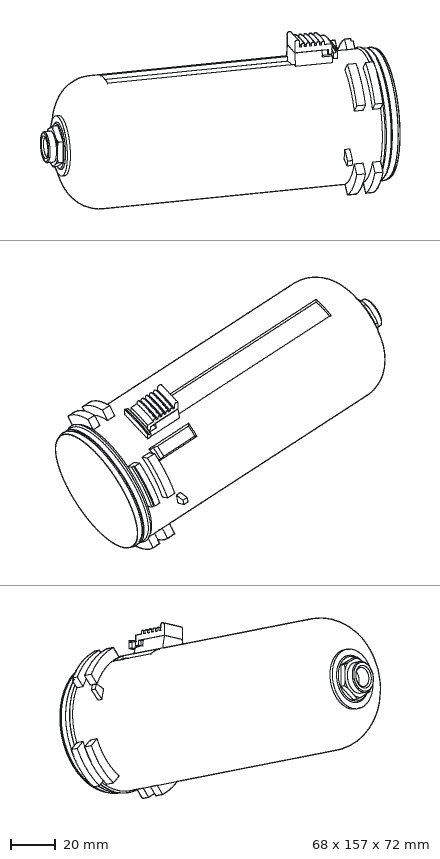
import cadquery as cq
import math


overall_length = 157.0
bowl_radius = 59.8 / 2
dome_radius = 16.0
dome_end = 8.0
boss_radius = 27.0 / 2
boss_face = 6.6
slot_floor_radius = 55.5 / 2

lip_radius = 29.5
lip_fillet = 1.0
bead_top = 155.9
bead_bottom = 153.2
bead_root_radius = 29.2
bead_crest_radius = 60.0 / 2
land_top = 152.6
land_bottom = 150.2
collar_radius = 30.6
collar_peak = 149.5
collar_bottom = 148.4

lug_radius = 35.0
lug_width = 20.7
lug_angles = [45, 135, 225, 315]
upper_lug_bottom = 144.6
lower_lug_top = 140.2
lower_lug_bottom = 136.1
notched_lug_angle = 135
notch_length = 1.0
notch_depth = 1.3

nib_top = 133.3
nib_bottom = 131.0
nib_angle = 162
nib_outer_width = 2.7
nib_flank_angle = 42

guide_slot_width = 10.8
guide_slot_end = 27.8
pocket_inner_side = -11.1
pocket_outer_side = -17.3
pocket_flank_angle = 45
pocket_top = 135.2
pocket_bottom = 112.9
pocket_ledge_radius = 28.7
ledge_bottom = 132.8
ramp_bottom = 130.5

button_front = 114.8
button_back = 132.0
base_width = 14.1
base_top_width = 11.8
base_upright_top = 29.4
base_top = 35.0

button_width = 12.1
grip_root_radius = 38.2
grip_tip_radius = 39.7
tooth_count = 5
tooth_pitch = 2.4
first_tooth_position = 118.5
tooth_length = 1.4
ridge_length = 2.2
ridge_top = 41.0
plate_width = 17.0
plate_back = 133.9
plate_bottom = 31.4
plate_radius = 35.2
plate_lip_radius = 36.0
plate_lip_length = 0.6

notch_floor = 32.0
notch_front = 127.5
notch_core_width = 9.1
arm_bottom = 32.8
arm_front = 130.3

hex_across_flats = 16.8
hex_front = 3.5
hex_back = 6.1
hex_chamfer_radius = 8.8
hex_chamfer_length = 0.5
flange_radius = 10.7
flange_front_radius = 10.0
spigot_radius = 14.0 / 2
spigot_chamfer = 0.5
bore_radius = 8.6 / 2
bore_chamfer = 0.8


def cylinder(radius, y_start, y_end):
    """Cylinder on the bowl axis between two Y positions."""
    return cq.Workplane("XZ", origin=(0, y_start, 0)).circle(radius).extrude(y_start - y_end)


def block(width, y_start, y_end, z_start, z_end):
    """Box centred on X = 0."""
    size = (width, y_end - y_start, z_end - z_start)
    centre = (0, (y_start + y_end) / 2, (z_start + z_end) / 2)
    return cq.Workplane("XY", origin=centre).box(*size)


def turn(shape, angle):
    """Move a shape from the +Z side to an angle counted from +X towards +Z."""
    return shape.rotate((0, 0, 0), (0, 1, 0), 90 - angle)


def revolve_on_axis(outline):
    """Revolve a closed outline of (radius, Y) about the bowl axis."""
    return outline.close().revolve(360, (0, 0), (0, 1))


def bowl_shell():
    dome_mid = dome_radius * math.sqrt(0.5)
    dome_centre_radius = bowl_radius - dome_radius
    dome_centre = dome_end + dome_radius
    bead_middle = (bead_top + bead_bottom) / 2
    outline = (
        cq.Workplane("XY")
        .moveTo(0, boss_face)
        .lineTo(boss_radius, boss_face)
        .lineTo(boss_radius, dome_end)
        .lineTo(dome_centre_radius, dome_end)
        .threePointArc((dome_centre_radius + dome_mid, dome_centre - dome_mid), (bowl_radius, dome_centre))
        .lineTo(bowl_radius, collar_bottom)
        .lineTo(collar_radius, collar_peak)
        .lineTo(bowl_radius, land_bottom)
        .lineTo(bowl_radius, land_top)
        .lineTo(bead_root_radius, land_top)
        .lineTo(bead_root_radius, bead_bottom)
        .threePointArc((bead_crest_radius, bead_middle), (bead_root_radius, bead_top))
        .lineTo(lip_radius, bead_top)
        .lineTo(lip_radius, overall_length - lip_fillet)
        .radiusArc((lip_radius - lip_fillet, overall_length), -lip_fillet)
        .lineTo(0, overall_length)
    )
    return revolve_on_axis(outline)


def lug(angle, y_bottom, y_top):
    """Parallel-sided lug with a round outer face, reaching into the bowl wall."""
    shape = block(lug_width, y_bottom, y_top, slot_floor_radius - 1.5, lug_radius)
    return turn(shape.intersect(cylinder(lug_radius, y_bottom, y_top)), angle)


def lug_notch():
    """Ring that lowers the upper edge of one lug."""
    notch_radius = lug_radius - notch_depth
    notch_start = collar_bottom - notch_length
    ring = cylinder(lug_radius + 1.5, notch_start, collar_bottom).cut(
        cylinder(notch_radius, notch_start, collar_bottom))
    window = block(2 * lug_width, notch_start, collar_bottom, 0, 2 * lug_radius)
    return ring.intersect(turn(window, notched_lug_angle))


def nib(half_turn):
    """Stop nib with one radial flank and one slanted flank."""
    reach = 9.4
    a = math.radians(nib_angle)
    spread = math.degrees(nib_outer_width / lug_radius)
    b = math.radians(nib_angle + spread)
    flank = math.radians(nib_flank_angle)
    inner_radius = lug_radius - reach
    top_outer = (lug_radius * math.cos(a), lug_radius * math.sin(a))
    low_outer = (lug_radius * math.cos(b), lug_radius * math.sin(b))
    low_inner = (low_outer[0] + reach * math.cos(flank), low_outer[1] - reach * math.sin(flank))
    top_inner = (inner_radius * math.cos(a), inner_radius * math.sin(a))
    shape = (
        cq.Workplane("XZ", origin=(0, nib_top, 0))
        .polyline([top_outer, low_outer, low_inner, top_inner])
        .close()
        .extrude(nib_top - nib_bottom)
    )
    return shape.rotate((0, 0, 0), (0, 1, 0), half_turn)


def guide_slot():
    shape = block(guide_slot_width, guide_slot_end, button_front, 0, bowl_radius + 1.5)
    return shape.cut(cylinder(slot_floor_radius, guide_slot_end, button_front))


def detent_pocket():
    """Pocket with one upright and one slanted side; its floor rises over a ramp to a ledge."""
    outline = (
        cq.Workplane("XY")
        .moveTo(0, pocket_bottom)
        .lineTo(slot_floor_radius, pocket_bottom)
        .lineTo(slot_floor_radius, ramp_bottom)
        .lineTo(pocket_ledge_radius, ledge_bottom)
        .lineTo(pocket_ledge_radius, pocket_top)
        .lineTo(0, pocket_top)
    )
    outer_rim = math.sqrt(bowl_radius ** 2 - pocket_outer_side ** 2)
    flank_slope = math.tan(math.radians(pocket_flank_angle))
    flank_foot = outer_rim - (pocket_inner_side - pocket_outer_side) * flank_slope
    section = [
        (pocket_outer_side, outer_rim),
        (pocket_outer_side, bowl_radius),
        (pocket_inner_side, bowl_radius),
        (pocket_inner_side, flank_foot),
    ]
    shape = (
        cq.Workplane("XZ", origin=(0, pocket_top, 0))
        .polyline(section)
        .close()
        .extrude(pocket_top - pocket_bottom)
    )
    return shape.cut(revolve_on_axis(outline))


def button_base():
    """Boss whose sides lean in from the bowl wall up to the button, notched at its back corners."""
    section = [
        (-base_width / 2, 0),
        (base_width / 2, 0),
        (base_width / 2, base_upright_top),
        (base_top_width / 2, base_top),
        (-base_top_width / 2, base_top),
        (-base_width / 2, base_upright_top),
    ]
    base = (
        cq.Workplane("XZ", origin=(0, button_back, 0))
        .polyline(section)
        .close()
        .extrude(button_back - button_front)
    )
    notches = block(base_width, notch_front, button_back, notch_floor, base_top)
    core = block(notch_core_width, notch_front, button_back, notch_floor, base_top)
    return base.cut(notches.cut(core))


def build_bowl():
    bowl = bowl_shell()
    for angle in lug_angles:
        upper = lug(angle, upper_lug_bottom, collar_bottom)
        if angle == notched_lug_angle:
            upper = upper.cut(lug_notch())
        bowl = bowl.union(upper).union(lug(angle, lower_lug_bottom, lower_lug_top))
    for half_turn in (0, 180):
        bowl = bowl.union(nib(half_turn))
    return bowl.union(button_base()).cut(guide_slot()).cut(detent_pocket())


def grip_tooth(position):
    """Round-topped rib across the button, curved about the bowl axis."""
    half_length = tooth_length / 2
    flank_radius = grip_tip_radius - half_length
    outline = (
        cq.Workplane("XY")
        .moveTo(0, position - half_length)
        .lineTo(flank_radius, position - half_length)
        .threePointArc((grip_tip_radius, position), (flank_radius, position + half_length))
        .lineTo(0, position + half_length)
    )
    window = block(button_width, button_front, button_back, base_top, ridge_top)
    return revolve_on_axis(outline).intersect(window)


def grip():
    """Upper block of the button: curved top, teeth and the tall round-topped ridge."""
    upper = block(button_width, button_front, button_back, base_top, ridge_top)
    upper = upper.intersect(cylinder(grip_root_radius, button_front, button_back))
    for index in range(tooth_count):
        upper = upper.union(grip_tooth(first_tooth_position + index * tooth_pitch))
    ridge = block(button_width, button_front, button_front + ridge_length, base_top, ridge_top)
    ridge = ridge.edges("|X and >Z").fillet(0.49 * ridge_length)
    return upper.union(ridge)


def end_plate():
    """Wide plate behind the button, with a curved top and a low lip at its back edge."""
    plate = block(plate_width, button_back, plate_back, plate_bottom, plate_lip_radius)
    lip_start = plate_back - plate_lip_length
    curve = cylinder(plate_radius, button_back, plate_back)
    curve = curve.union(cylinder(plate_lip_radius, lip_start, plate_back))
    return plate.intersect(curve)


def arms():
    """Pair of arms that hang from the grip into the notches of the base."""
    arm_block = block(button_width, arm_front, button_back, arm_bottom, base_top)
    core = block(notch_core_width, arm_front, button_back, arm_bottom, base_top)
    return arm_block.cut(core)


def build_button():
    return grip().union(end_plate()).union(arms())


def build_drain_nut():
    flange = revolve_on_axis(
        cq.Workplane("XY")
        .moveTo(0, hex_back)
        .lineTo(flange_front_radius, hex_back)
        .lineTo(flange_radius, boss_face)
        .lineTo(0, boss_face)
    )
    hex_corner_diameter = hex_across_flats / math.cos(math.pi / 6)
    hexagon = (
        cq.Workplane("XZ", origin=(0, hex_back, 0))
        .transformed(rotate=(0, 0, 30))
        .polygon(6, hex_corner_diameter)
        .extrude(hex_back - hex_front)
    )
    chamfer_cone = revolve_on_axis(
        cq.Workplane("XY")
        .moveTo(0, hex_front)
        .lineTo(hex_chamfer_radius, hex_front)
        .lineTo(hex_corner_diameter / 2, hex_front + hex_chamfer_length)
        .lineTo(hex_corner_diameter / 2, hex_back)
        .lineTo(0, hex_back)
    )
    spigot = cylinder(spigot_radius, 0, hex_front).faces("<Y").chamfer(spigot_chamfer)
    nut = flange.union(hexagon.intersect(chamfer_cone)).union(spigot)
    nut = nut.cut(cylinder(bore_radius, 0, boss_face))
    return nut.faces("<Y").edges("%CIRCLE").edges(cq.selectors.RadiusNthSelector(0)).chamfer(bore_chamfer)


bowl = build_bowl()
button = build_button()
drain_nut = build_drain_nut()

result = cq.Compound.makeCompound([bowl.val(), button.val(), drain_nut.val()])